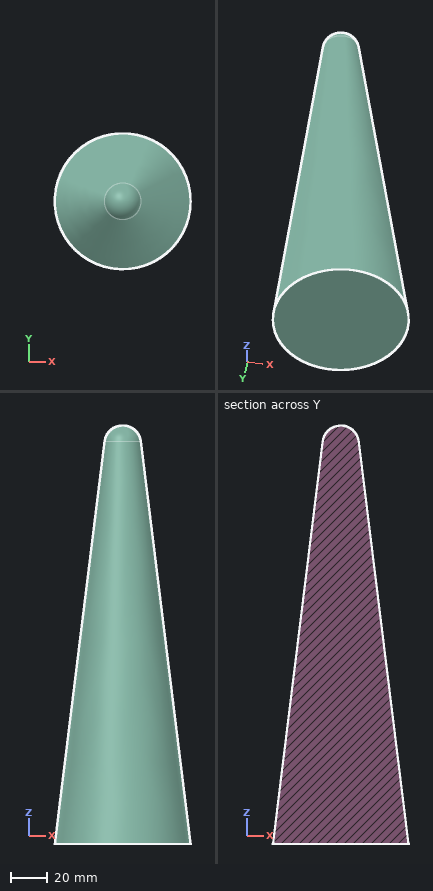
import cadquery as cq
import math

height = 231.8
base_radius = 75.3 / 2
tip_radius = 10.2

tip_center_z = height - tip_radius
base_edge_to_center = math.hypot(base_radius, tip_center_z)
taper = math.atan(base_radius / tip_center_z) - math.asin(tip_radius / base_edge_to_center)


def tip_point(angle):
    """Point on the tip sphere's profile, with the angle measured up from horizontal."""
    return (tip_radius * math.cos(angle), tip_center_z + tip_radius * math.sin(angle))


result = (
    cq.Workplane("XZ")
    .lineTo(base_radius, 0)
    .lineTo(*tip_point(taper))
    .threePointArc(tip_point((taper + math.pi / 2) / 2), (0, height))
    .close()
    .revolve(360, (0, 0, 0), (0, 1, 0))
)